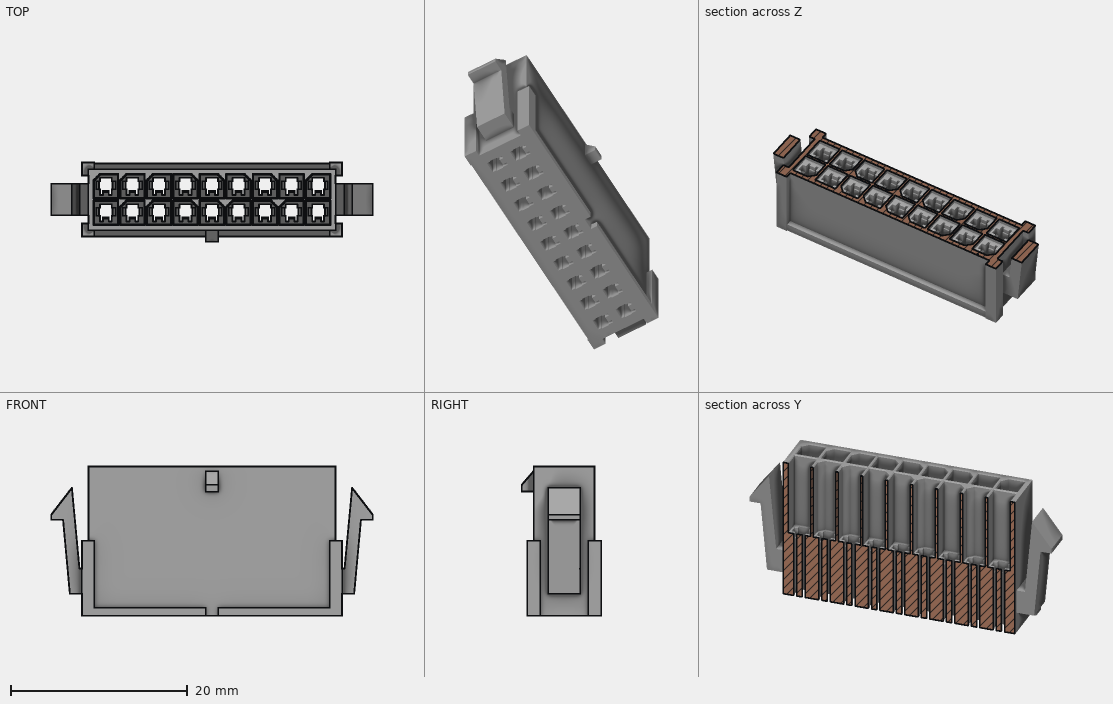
import cadquery as cq

height = 16.9
body_length = 27.95
body_width = 6.9
overall_length = 36.35
overall_width = 9.0

frame_length = 29.4
frame_side = 0.75
post_height = 8.5
post_length = 1.4
post_wrap = 1.5
rail_height = 0.95
rear_rail_setback = 0.1
frame_width = body_width + 2 * frame_side

key_width = 1.43
key_top = height - 0.52
key_slope_end = height - 2.08
key_bottom = height - 2.85
key_reach = overall_width - body_width - frame_side

latch_width = 3.6
latch_foot_bottom = 2.5
latch_foot_top = 5.35
latch_barb_bottom = 10.85
latch_barb_corner = 11.45
latch_tip_height = 14.5
latch_foot_outer_x = 16.08
latch_foot_inner_x = 14.97
latch_barb_inner_x = 16.85
latch_tip_x = 15.83

pitch = 3.0
cell_size = 2.64
lead_in = 0.1
lead_in_angle = 45
cell_corner_cut = 0.7
cell_floor = 8.0
rear_row_cuts = "LLLRRRR-L"
front_row_cuts = "-LLRRLRL-"

opening_half_width = 0.66
opening_rear = 0.96
opening_front = -0.98
slot_half_width = 0.75
pocket_half_width = 1.1
pocket_rear = 0.55
pocket_front = -0.36
pocket_depth = 1.0
tongue_half_width = 0.35
tongue_tip = -0.52
tongue_step = -0.68
tongue_step_depth = 0.5


def block(x_min, x_max, y_min, y_max, z_min, z_max):
    """Axis-aligned box given by its limits."""
    size = (x_max - x_min, y_max - y_min, z_max - z_min)
    return cq.Workplane("XY").box(*size, centered=False).translate((x_min, y_min, z_min))


def make_frame():
    """Four corner posts joined by a rear rail and a split front rail."""
    half_length = frame_length / 2
    half_width = frame_width / 2
    rear_rail = block(-half_length + post_length, half_length - post_length,
                      0, half_width - rear_rail_setback, 0, rail_height)
    front_rail = block(-half_length + post_length, half_length - post_length,
                       -half_width, 0, 0, rail_height)
    rail_gap = block(-key_width / 2, key_width / 2, -half_width, -body_width / 2, 0, rail_height)
    frame = rear_rail.union(front_rail.cut(rail_gap))
    post = block(half_length - post_length, half_length, half_width - post_wrap, half_width, 0, post_height)
    rear_posts = post.union(post.mirror("YZ"))
    return frame.union(rear_posts).union(rear_posts.mirror("XZ"))


def make_key():
    """Wedge-shaped rib near the top of the front face."""
    face_y = -body_width / 2
    tip_y = face_y - key_reach
    outline = [
        (face_y, key_top),
        (tip_y, key_slope_end),
        (tip_y, key_bottom),
        (face_y, key_bottom),
    ]
    return cq.Workplane("YZ").polyline(outline).close().extrude(key_width / 2, both=True)


def make_latch():
    """Barbed spring arm at the +X end, leaning away from the body."""
    outline = [
        (body_length / 2, latch_foot_bottom),
        (latch_foot_outer_x, latch_foot_bottom),
        (latch_barb_inner_x, latch_barb_bottom),
        (overall_length / 2, latch_barb_bottom),
        (overall_length / 2, latch_barb_corner),
        (latch_tip_x, latch_tip_height),
        (latch_foot_inner_x, latch_foot_top),
        (body_length / 2, latch_foot_top),
    ]
    return cq.Workplane("XZ").polyline(outline).close().extrude(latch_width / 2, both=True)


def cell_outline(half, corner_cut):
    """Square of the given half size with one rear corner optionally cut off."""
    sketch = cq.Sketch().rect(2 * half, 2 * half)
    if corner_cut == "L":
        return sketch.vertices("<X and >Y").chamfer(cell_corner_cut).reset()
    if corner_cut == "R":
        return sketch.vertices(">X and >Y").chamfer(cell_corner_cut).reset()
    return sketch


def make_cavity(corner_cut):
    """Cell cavity, its flared mouth and the terminal opening below it, as a cutting solid."""
    outline = cell_outline(cell_size / 2, corner_cut)
    cavity = cq.Workplane("XY", origin=(0, 0, cell_floor)).placeSketch(outline).extrude(height - cell_floor)
    mouth = (
        cq.Workplane("XY", origin=(0, 0, height - lead_in))
        .placeSketch(outline)
        .extrude(lead_in, taper=-lead_in_angle)
    )
    return cavity.union(mouth).union(make_opening())


def make_opening():
    """Through opening with side pockets and a stepped tongue left standing at its front edge."""
    opening = block(-opening_half_width, opening_half_width, opening_front, opening_rear, 0, cell_floor)
    tongue = block(-tongue_half_width, tongue_half_width, opening_front, tongue_tip, 0, cell_floor)
    step = block(-tongue_half_width, tongue_half_width, tongue_step, tongue_tip,
                 cell_floor - tongue_step_depth, cell_floor)
    slot = block(-slot_half_width, slot_half_width, pocket_front, pocket_rear, 0, cell_floor)
    pocket = block(-pocket_half_width, pocket_half_width, pocket_front, pocket_rear,
                   cell_floor - pocket_depth, cell_floor)
    return opening.cut(tongue.cut(step)).union(slot).union(pocket)


def cut_cells(housing):
    """Cut both rows of cells."""
    cavities = {corner_cut: make_cavity(corner_cut) for corner_cut in "LR-"}
    for row_y, row_cuts in ((pitch / 2, rear_row_cuts), (-pitch / 2, front_row_cuts)):
        for column, corner_cut in enumerate(row_cuts):
            column_x = (column - (len(row_cuts) - 1) / 2) * pitch
            housing = housing.cut(cavities[corner_cut].translate((column_x, row_y, 0)))
    return housing


body = block(-body_length / 2, body_length / 2, -body_width / 2, body_width / 2, 0, height)
housing = body.union(make_frame()).union(make_key())
latch = make_latch()
housing = housing.union(latch).union(latch.mirror("YZ"))
result = cut_cells(housing)